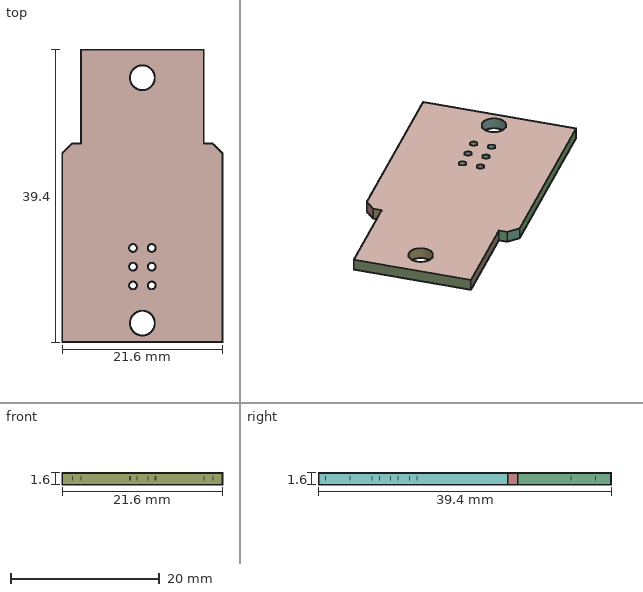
import cadquery as cq

length = 39.37
body_width = 21.57
thickness = 1.6
tab_width = 16.55
tab_length = 12.6
shoulder_chamfer = 1.35

mount_diameter = 3.3
tab_mount_inset = 3.78
body_mount_inset = 2.55

pin_diameter = 1.02
pin_pitch = 2.5
pin_columns = 2
pin_rows = 3
pin_grid_center_y = 10.15

body_length = length - tab_length


def make_plate():
    """Body and tab, joined along the shoulder, with the outer shoulder corners cut off."""
    body = cq.Workplane("XY").box(body_width, body_length, thickness, centered=(True, False, False))
    body = body.edges("|Z and >Y").chamfer(shoulder_chamfer)
    tab = cq.Workplane("XY").box(tab_width, length, thickness, centered=(True, False, False))
    return body.union(tab)


def cut_mount_holes(plate):
    centers = [(0, body_mount_inset), (0, length - tab_mount_inset)]
    return plate.faces(">Z").workplane(origin=(0, 0, thickness)).pushPoints(centers).hole(mount_diameter)


def cut_pin_holes(plate):
    grid = plate.faces(">Z").workplane(origin=(0, pin_grid_center_y, thickness))
    return grid.rarray(pin_pitch, pin_pitch, pin_columns, pin_rows).hole(pin_diameter)


result = cut_pin_holes(cut_mount_holes(make_plate()))